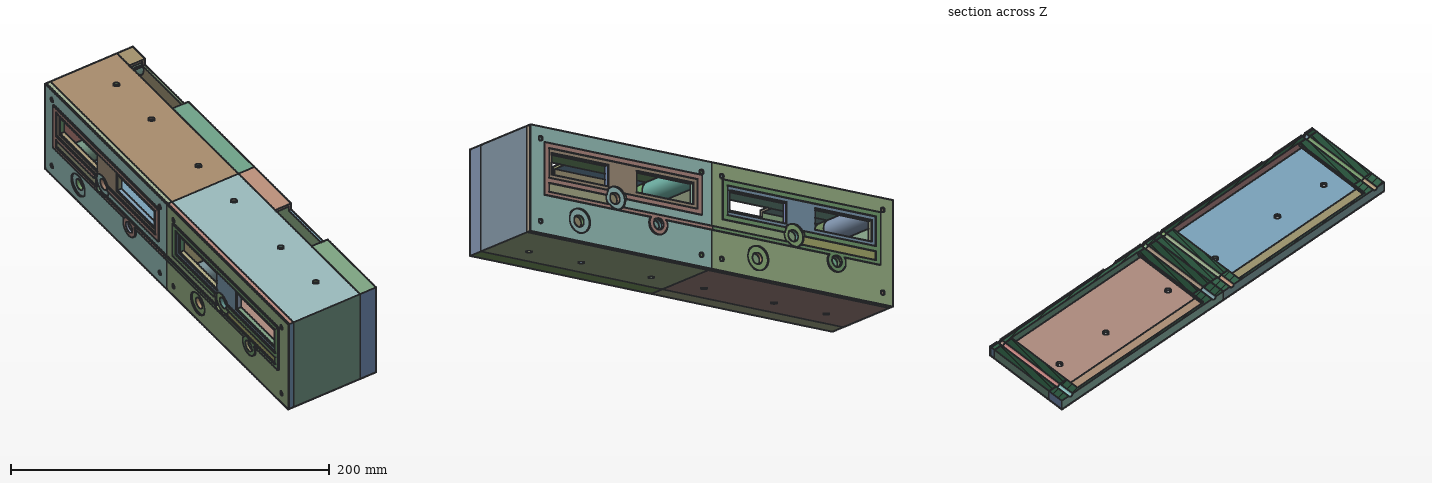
import cadquery as cq

LENGTH = 279.0
DEPTH = 67.0
HEIGHT = 70.0
MODULE_WIDTH = LENGTH / 2

COVER_DEPTH = 12.0
HOUSING_DEPTH = 50.0
PANEL_THICKNESS = 1.0
RELIEF_HEIGHT = 1.0
REAR_Y = DEPTH / 2
HOUSING_REAR_Y = REAR_Y - COVER_DEPTH
PLATE_REAR_Y = HOUSING_REAR_Y - HOUSING_DEPTH
FRONT_Y = -DEPTH / 2
PANEL_FRONT_Y = FRONT_Y + RELIEF_HEIGHT
PLATE_FRONT_Y = PANEL_FRONT_Y + PANEL_THICKNESS

WALL = 2.0
SCREW_INSET = 7.8
SCREW_DIAMETER = 3.0
POST_DIAMETER = 15.0

MOUNT_DIAMETER = 4.0
MOUNT_OFFSETS = (25.0, 65.3, 119.0)
MOUNT_REAR_INSET = 28.7

NOTCH_DEPTH = 5.0
LEFT_NOTCH = (14.2, 64.0)
RIGHT_NOTCH = (42.0, 84.0)

FRAME_WIDTH = 121.0
FRAME_OUTER_MARGIN = 10.3
FRAME_SEAM_MARGIN = MODULE_WIDTH - FRAME_WIDTH - FRAME_OUTER_MARGIN
FRAME_TOP = 10.0
FRAME_BAND = 3.3
POCKET_BOTTOM = 33.0
LABEL_TOP = POCKET_BOTTOM + FRAME_BAND
LABEL_BOTTOM = 42.0
BAR_BOTTOM = 44.6

WINDOW_WIDTH = 43.8
WINDOW_TOP = 16.0
WINDOW_BOTTOM = 30.0
WINDOW_INSET = 5.9

SHAFT_DIAMETER = 7.5
UPPER_KNOB = (55.2, 36.8)
UPPER_RECESS_DIAMETER = 15.0
LOWER_KNOB = (27.5, 56.5)
LOWER_RECESS_DIAMETER = 16.0
BOSS_KNOB = (87.5, 48.3)
BOSS_DIAMETER = 13.7

TOP_Z = HEIGHT / 2
LEFT, RIGHT = -1, 1


def block(x_range, y_range, z_range):
    """Box between two limits along each axis."""
    x0, x1 = sorted(x_range)
    y0, y1 = sorted(y_range)
    z0, z1 = sorted(z_range)
    return cq.Workplane("XY").box(x1 - x0, y1 - y0, z1 - z0, centered=False).translate((x0, y0, z0))


def rod(points, diameter, y_range):
    """Cylinders along Y, centred on the given (x, z) points."""
    y0, y1 = sorted(y_range)
    plane = cq.Workplane("XZ", origin=(0, y1, 0))
    return plane.pushPoints(points).circle(diameter / 2).extrude(y1 - y0)


def down(distance):
    """Z coordinate at a distance below the top."""
    return TOP_Z - distance


def module_left(side):
    return -MODULE_WIDTH if side == LEFT else 0.0


def frame_left(side):
    margin = FRAME_OUTER_MARGIN if side == LEFT else FRAME_SEAM_MARGIN
    return module_left(side) + margin


def module_block(side, y_range):
    """Solid block over the full width and height of one module."""
    x0 = module_left(side)
    return block((x0, x0 + MODULE_WIDTH), y_range, (-TOP_Z, TOP_Z))


def screw_points(side):
    x0 = module_left(side)
    xs = (x0 + SCREW_INSET, x0 + MODULE_WIDTH - SCREW_INSET)
    zs = (down(SCREW_INSET), -down(SCREW_INSET))
    return [(x, z) for x in xs for z in zs]


def control_point(side, control):
    offset, drop = control
    return (frame_left(side) + offset, down(drop))


def screw_holes(side, y_range):
    return rod(screw_points(side), SCREW_DIAMETER, y_range)


def cavity(side, y_range):
    """Inside of a walled module, leaving a rounded post around each corner screw."""
    x0 = module_left(side)
    inside_x = (x0 + WALL, x0 + MODULE_WIDTH - WALL)
    inside_z = (-TOP_Z + WALL, TOP_Z - WALL)
    space = block(inside_x, y_range, inside_z)
    return space.cut(rod(screw_points(side), POST_DIAMETER, y_range))


def window_cutter(side, y_range):
    """Two display openings, placed symmetrically in the frame."""
    x0 = frame_left(side)
    z_range = (down(WINDOW_BOTTOM), down(WINDOW_TOP))
    first = x0 + WINDOW_INSET
    second = x0 + FRAME_WIDTH - WINDOW_INSET - WINDOW_WIDTH
    cutter = block((first, first + WINDOW_WIDTH), y_range, z_range)
    return cutter.union(block((second, second + WINDOW_WIDTH), y_range, z_range))


def display_pocket(side, y_range):
    """Wide opening around both display windows, inside the frame."""
    x0 = frame_left(side)
    z_range = (down(POCKET_BOTTOM), down(FRAME_TOP + FRAME_BAND))
    return block((x0 + FRAME_BAND, x0 + FRAME_WIDTH - FRAME_BAND), y_range, z_range)


def make_cover(side):
    """Rear tray, open towards the housing, with a notch in its top."""
    y_range = (HOUSING_REAR_Y, REAR_Y)
    inside_y = (HOUSING_REAR_Y, REAR_Y - WALL)
    cover = module_block(side, y_range).cut(cavity(side, inside_y))
    start, end = LEFT_NOTCH if side == LEFT else RIGHT_NOTCH
    x0 = module_left(side)
    notch = block((x0 + start, x0 + end), y_range, (down(NOTCH_DEPTH), TOP_Z))
    return cover.cut(notch).cut(screw_holes(side, y_range))


def make_housing(side):
    """Sleeve open at front and rear, with mounting holes in its top and bottom."""
    y_range = (PLATE_REAR_Y, HOUSING_REAR_Y)
    housing = module_block(side, y_range).cut(cavity(side, y_range))
    points = [(side * (MODULE_WIDTH - offset), REAR_Y - MOUNT_REAR_INSET) for offset in MOUNT_OFFSETS]
    bottom = cq.Workplane("XY", origin=(0, 0, -TOP_Z))
    mounts = bottom.pushPoints(points).circle(MOUNT_DIAMETER / 2).extrude(HEIGHT)
    return housing.cut(mounts).cut(screw_holes(side, y_range))


def make_plate(side):
    """Backing plate behind the front panel, with windows and shaft holes."""
    y_range = (PLATE_FRONT_Y, PLATE_REAR_Y)
    shafts = [control_point(side, control) for control in (UPPER_KNOB, LOWER_KNOB, BOSS_KNOB)]
    plate = module_block(side, y_range).cut(window_cutter(side, y_range))
    plate = plate.cut(rod(shafts, SHAFT_DIAMETER, y_range))
    return plate.cut(screw_holes(side, y_range))


def make_relief(side, y_range):
    """Raised display frame with a bar below it that runs on to the seam."""
    x0 = frame_left(side)
    x1 = x0 + FRAME_WIDTH
    outer_x = x0 if side == LEFT else x1
    label_start = outer_x - side * FRAME_BAND
    relief = block((x0, x1), y_range, (down(LABEL_TOP), down(FRAME_TOP)))
    relief = relief.union(block((outer_x, label_start), y_range, (down(BAR_BOTTOM), down(LABEL_TOP))))
    bar = block((outer_x, 0), y_range, (down(BAR_BOTTOM), down(LABEL_BOTTOM)))
    boss = rod([control_point(side, BOSS_KNOB)], BOSS_DIAMETER, y_range)
    boss = boss.intersect(block((x0, x1), y_range, (-TOP_Z, down(LABEL_BOTTOM))))
    return relief.union(bar).union(boss)


def make_panel(side):
    """Front panel with its raised relief, windows and control openings."""
    y_range = (FRONT_Y, PLATE_FRONT_Y)
    panel = module_block(side, (PANEL_FRONT_Y, PLATE_FRONT_Y))
    panel = panel.union(make_relief(side, y_range))
    panel = panel.cut(display_pocket(side, (FRONT_Y, PANEL_FRONT_Y)))
    panel = panel.cut(window_cutter(side, y_range))
    openings = (
        (UPPER_KNOB, UPPER_RECESS_DIAMETER),
        (LOWER_KNOB, LOWER_RECESS_DIAMETER),
        (BOSS_KNOB, SHAFT_DIAMETER),
    )
    for control, diameter in openings:
        panel = panel.cut(rod([control_point(side, control)], diameter, y_range))
    return panel.cut(screw_holes(side, y_range))


bodies = []
for side in (LEFT, RIGHT):
    for make_body in (make_cover, make_housing, make_plate, make_panel):
        bodies.append(make_body(side).val())

result = cq.Compound.makeCompound(bodies)